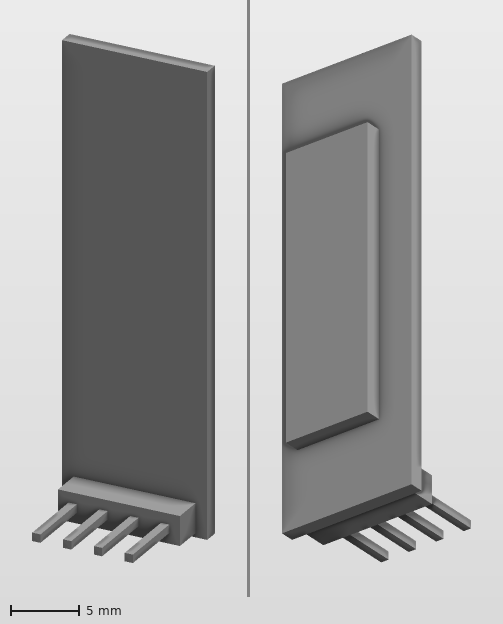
import cadquery as cq

board_width = 12.0
board_thickness = 1.2
board_height = 38.0

display_width = 7.55
display_thickness = 1.4
display_height = 24.47
display_left_margin = 3.0
display_bottom_margin = 6.55

header_width = 10.07
header_depth = 2.5
header_height = 2.45
header_bottom_margin = 0.35

pin_count = 4
pin_pitch = 2.55
pin_side = 0.7
pin_length = 5.85

board_left = -board_width / 2
header_center_z = header_bottom_margin + header_height / 2


def box_at(width, depth, height, left, front, bottom):
    """Box given by its size and its lowest X, Y and Z corner."""
    return cq.Workplane("XY").box(width, depth, height, centered=False).translate((left, front, bottom))


def make_display_board():
    """Board and its display module as one solid."""
    board = box_at(board_width, board_thickness, board_height, board_left, 0, 0)
    display = box_at(
        display_width,
        display_thickness,
        display_height,
        board_left + display_left_margin,
        board_thickness,
        display_bottom_margin,
    )
    return board.union(display)


def make_pin_header():
    """Header block with a centred row of square pins pointing toward -Y."""
    header = box_at(
        header_width,
        header_depth,
        header_height,
        -header_width / 2,
        -header_depth,
        header_bottom_margin,
    )
    for index in range(pin_count):
        pin_x = (index - (pin_count - 1) / 2) * pin_pitch
        pin = box_at(
            pin_side,
            pin_length,
            pin_side,
            pin_x - pin_side / 2,
            -header_depth - pin_length,
            header_center_z - pin_side / 2,
        )
        header = header.union(pin)
    return header


display_board = make_display_board()
pin_header = make_pin_header()

result = cq.Compound.makeCompound([display_board.solids().val(), pin_header.solids().val()])